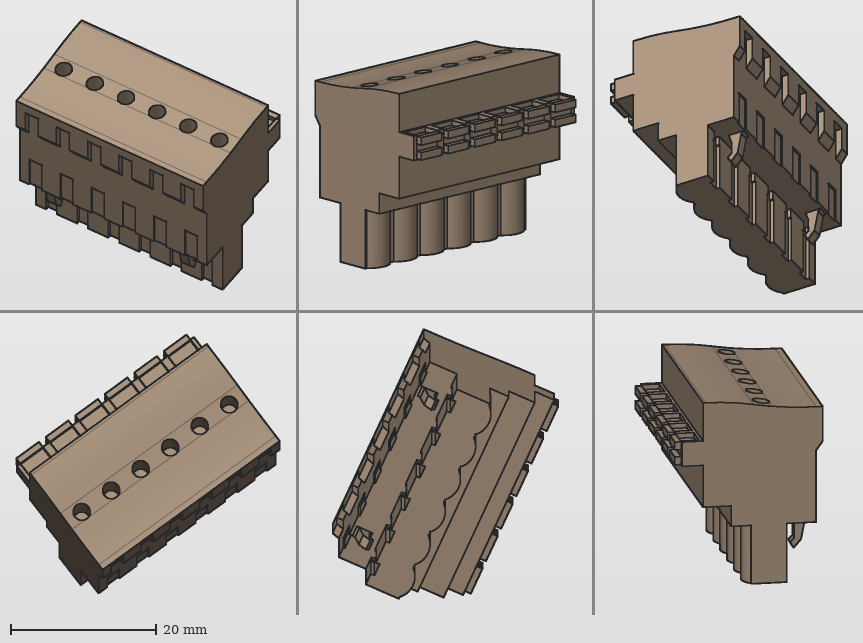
import cadquery as cq
import math


width = 30.48
pole_count = 6
pitch = width / pole_count
pole_positions = [(i - (pole_count - 1) / 2) * pitch for i in range(pole_count)]

height = 26.25
back_y = 16.8
front_wall_y = 0.95
lip_bottom_z = 19.93
lip_slant_z = 18.6
shoulder_z = 8.38
step_y = 12.85
step_z = 11.3

steepest_angle = 10.0
middle_angle = 7.2
crest_flat_y = 16.43
steepest_y = 9.78
middle_y = 7.1
valley_flat_y = front_wall_y


def arc_drop(run, start_angle, end_angle):
    """Fall of an arc over its run, given its downward slopes at both ends in degrees."""
    return run * math.tan(math.radians(start_angle + end_angle) / 2)


steepest_z = height - arc_drop(crest_flat_y - steepest_y, 0, steepest_angle)
middle_z = steepest_z - arc_drop(steepest_y - middle_y, steepest_angle, middle_angle)
front_top_z = middle_z - arc_drop(middle_y - valley_flat_y, middle_angle, 0)

ledge_back_y = 19.72
ledge_bottom_z = 17.3
ledge_top_z = 20.8

button_width = 3.9
button_front_y = 17.25
button_back_y = 20.65
ledge_middle_z = (ledge_bottom_z + ledge_top_z) / 2
button_half_height = 1.05
tab_inner_half_gap = 0.52
tab_outer_half_height = 1.62
button_bottom_z = ledge_middle_z - button_half_height
button_top_z = ledge_middle_z + button_half_height

hole_diameter = 2.32
hole_y = 8.2
hole_depth = 4.57
hole_floor_z = middle_z - hole_depth

lip_slot_width = 2.13
lip_slot_top_z = 23.32
wall_slot_width = 2.07
wall_slot_depth = 0.25
wall_slot_top_z = 13.32

plug_front_y = 5.03
plug_back_y = 10.03
plug_slot_width = 1.77
plug_slot_neck_width = 1.35
plug_slot_neck_z = 7.0
plug_slot_depth = 0.55
rib_width = 4.48
rib_height = 0.98

hook_width = 1.45
hook_x = 10.9
hook_outline = [
    (1.4, shoulder_z),
    (1.77, 8.05),
    (2.35, 5.05),
    (3.4, 3.85),
    (3.9, 4.72),
    (3.3, 5.3),
    (3.3, 7.13),
    (3.78, shoulder_z),
]


def block(x_middle, x_size, y_range, z_range):
    """Box centred on x_middle that spans the given Y and Z ranges."""
    y_min, y_max = y_range
    z_min, z_max = z_range
    box = cq.Workplane("XY").box(x_size, y_max - y_min, z_max - z_min, centered=(True, False, False))
    return box.translate((x_middle, y_min, z_min))


def make_shell():
    """Main housing profile, with the ledge and the plug, swept along the full width."""
    profile = (
        cq.Workplane("YZ")
        .moveTo(back_y, height)
        .lineTo(crest_flat_y, height)
        .tangentArcPoint((steepest_y, steepest_z), relative=False)
        .tangentArcPoint((middle_y, middle_z), relative=False)
        .tangentArcPoint((valley_flat_y, front_top_z), relative=False)
        .lineTo(0, front_top_z)
        .lineTo(0, lip_bottom_z)
        .lineTo(front_wall_y, lip_slant_z)
        .lineTo(front_wall_y, shoulder_z)
        .lineTo(plug_front_y, shoulder_z)
        .lineTo(plug_front_y, 0)
        .lineTo(plug_back_y, 0)
        .lineTo(plug_back_y, shoulder_z)
        .lineTo(step_y, shoulder_z)
        .lineTo(step_y, step_z)
        .lineTo(back_y, step_z)
        .lineTo(back_y, ledge_bottom_z)
        .lineTo(ledge_back_y, ledge_bottom_z)
        .lineTo(ledge_back_y, ledge_top_z)
        .lineTo(back_y, ledge_top_z)
        .close()
    )
    return profile.extrude(width / 2, both=True)


def make_plug_rib(x):
    """Rounded rib on the back of the plug, one per pole."""
    return (
        cq.Workplane("XY")
        .moveTo(x - rib_width / 2, plug_back_y)
        .threePointArc((x, plug_back_y + rib_height), (x + rib_width / 2, plug_back_y))
        .close()
        .extrude(shoulder_z)
    )


def make_hook(x):
    """Latch hook that hangs from the shoulder."""
    outline = cq.Workplane("YZ").polyline(hook_outline).close()
    return outline.extrude(hook_width / 2, both=True).translate((x, 0, 0))


def make_hole(x):
    """Round blind hole in the sloping top."""
    hole = cq.Workplane("XY", origin=(x, hole_y, hole_floor_z))
    return hole.circle(hole_diameter / 2).extrude(height - hole_floor_z)


def make_front_slots(x):
    """The lip, wall and plug slots of one pole."""
    plug_slot_y = (plug_front_y, plug_front_y + plug_slot_depth)
    wall_slot_y = (front_wall_y, front_wall_y + wall_slot_depth)
    lip_slot = block(x, lip_slot_width, (0, front_wall_y), (lip_slant_z, lip_slot_top_z))
    wall_slot = block(x, wall_slot_width, wall_slot_y, (shoulder_z, wall_slot_top_z))
    plug_slot = block(x, plug_slot_width, plug_slot_y, (0, plug_slot_neck_z))
    plug_neck = block(x, plug_slot_neck_width, plug_slot_y, (plug_slot_neck_z, shoulder_z))
    return lip_slot, wall_slot, plug_slot.union(plug_neck)


def make_button_pocket(x):
    """Recess in the ledge, open at the top and the back, that holds a button."""
    return block(x, button_width, (button_front_y, ledge_back_y), (button_bottom_z, ledge_top_z))


def make_housing():
    housing = make_shell()
    for x in (-hook_x, hook_x):
        housing = housing.union(make_hook(x))
    for x in pole_positions:
        housing = housing.union(make_plug_rib(x))
        housing = housing.cut(make_hole(x))
        housing = housing.cut(make_button_pocket(x))
        for slot in make_front_slots(x):
            housing = housing.cut(slot)
    return housing


def make_button(x):
    """Release button: a block in the ledge with two tabs that stand out behind it."""
    button = block(x, button_width, (button_front_y, ledge_back_y), (button_bottom_z, button_top_z))
    tab_y = (ledge_back_y, button_back_y)
    upper_tab_z = (ledge_middle_z + tab_inner_half_gap, ledge_middle_z + tab_outer_half_height)
    lower_tab_z = (ledge_middle_z - tab_outer_half_height, ledge_middle_z - tab_inner_half_gap)
    for tab_z in (upper_tab_z, lower_tab_z):
        button = button.union(block(x, button_width, tab_y, tab_z))
    return button


housing = make_housing()
buttons = [make_button(x) for x in pole_positions]

result = cq.Compound.makeCompound([housing.val(), *[button.val() for button in buttons]])